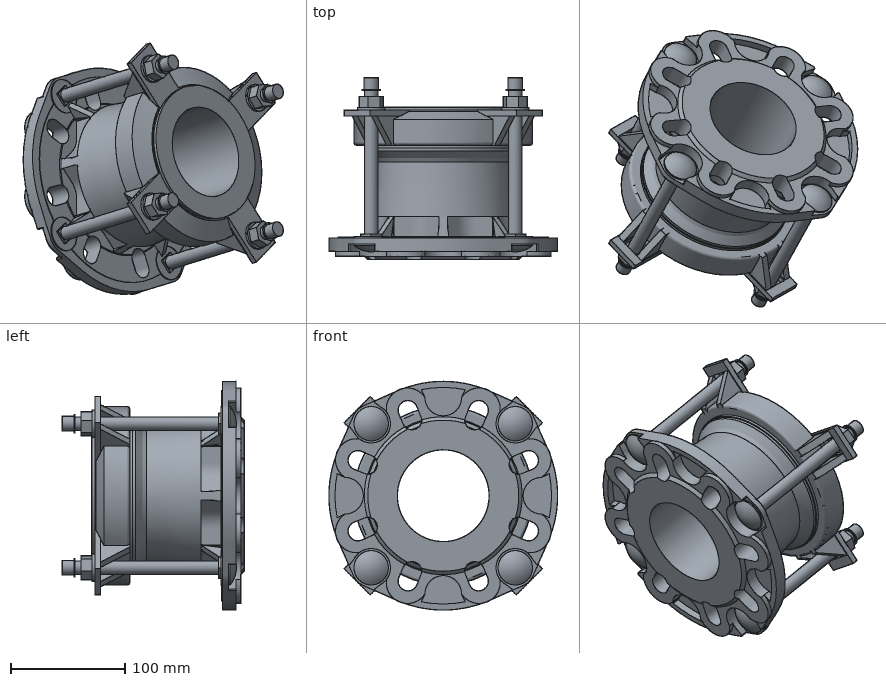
import cadquery as cq
import math


PAD_Y = 3.0
FLANGE_FRONT_Y = 7.2
RECESS_FLOOR_Y = 13.8
FLANGE_BACK_Y = 19.2
BACK_STEP_Y = 19.8
BOSS_BACK_Y = 20.5
NECK_BACK_Y = 22.5
SCALLOP_BACK_Y = 37.8
WAIST_Y = 85.5
CONE_START_Y = 88.8
CONE_END_Y = 95.2
GASKET_FRONT_Y = 97.5
RING_FRONT_Y = 100.0
RING_BEVEL_Y = 122.5
LUG_FRONT_Y = 125.5
RING_BACK_Y = 129.5
LUG_BACK_Y = 130.5
COLLAR_BACK_Y = 133.5
WASHER_BACK_Y = 133.0
NUT_BACK_Y = 142.8
COIL_Y = 148.0
BOLT_END_Y = 159.0

BORE_R = 40.0
HUB_FACE_R = 66.0
HUB_R = 69.0
BODY_FOOT_R = 67.2
BODY_R = 64.0
WAIST_R = 59.5
CONE_START_R = 61.2
LIP_R = 67.5
GASKET_R = 68.5
RING_R = 78.0
RING_EDGE = 2.5
RING_BACK_R = 60.8
COLLAR_R = 59.5

FLANGE_R = 100.0
BACK_STEP_R = 92.0
BOLT_CIRCLE_R = 89.0
LUG_BOSS_R = 17.0
BACK_BOSS_R = 15.0
PAD_WEB_R = 80.0
PAD_CENTRE_R = 82.0
PAD_R = 18.5
SLOT_OUTER_R = 80.8
SLOT_INNER_R = 71.5
SLOT_R = 8.5
RECESS_R = 16.8
THROAT_REACH = 11.0
THROAT_HALF = 15.2
MOUTH_REACH = 12.5
MOUTH_HALF = 17.5

POCKET_RIM_R = 94.5
POCKET_RIM_HALF = 19.2
POCKET_TIP_R = 69.8
POCKET_R = 16.0

SCALLOP_R = 19.5
SCALLOP_DEPTH_R = 48.0
SCALLOP_FLAT = 15.0

BOLT_R = 6.0
THREAD_R = 6.5
COIL_R = 8.0
COIL_THICK = 0.5
WASHER_R = 12.0
NUT_CORNERS = 22.0
HEAD_R = 15.0
HEAD_SKIRT = 1.5
HEAD_PEAK_Y = 6.8
NECK_SIZE = 13.2

LUG_OUTER_R = 106.5
LUG_HALF = 16.2
LUG_OPENING = 16.5
GUSSET_THICK = 6.5
GUSSET_OFFSET = 12.0
GUSSET_OUTER_R = 97.2
GUSSET_FOOT_R = 78.5
RIB_THICK = 6.2
RIB_FOOT_R = 80.0

HALF_PITCH = 22.5
BOLT_ANGLES = [45 + 90 * i for i in range(4)]
SLOT_ANGLES = [HALF_PITCH + 2 * HALF_PITCH * i for i in range(8)]
POCKET_ANGLES = [90 * i for i in range(4)]


def section(y):
    """Sketch plane across the pipe axis; extrusion runs toward +Y."""
    return cq.Workplane("ZX", origin=(0, y, 0)).transformed(rotate=(0, 0, 90))


def disc(radius, y0, y1, offset=0.0):
    return section(y0).center(offset, 0).circle(radius).extrude(y1 - y0)


def bolt_square(size, y0, y1):
    """Square block centred on the bolt axis."""
    return section(y0).center(BOLT_CIRCLE_R, 0).rect(size, size).extrude(y1 - y0)


def web(points, thick, offset=0.0):
    """Plate of the given thickness from (radius, y) points, standing on +X."""
    return cq.Workplane("XY").workplane(offset=offset - thick / 2).polyline(points).close().extrude(thick)


def around(shape, angles):
    """Copies of a shape built on +X, turned about the pipe axis."""
    copies = cq.Workplane("XY")
    for angle in angles:
        copies = copies.add(shape.rotate((0, 0, 0), (0, 1, 0), angle))
    return copies.combine()


def pipe_body():
    """Hub, pipe body and clamp ring in one revolved profile."""
    edge_centre_r = RING_R - RING_EDGE
    edge_centre_y = RING_FRONT_Y + RING_EDGE
    edge_mid = RING_EDGE * math.sqrt(0.5)
    return (
        cq.Workplane("XY")
        .moveTo(BORE_R, 0)
        .lineTo(HUB_FACE_R, 0)
        .lineTo(HUB_R, PAD_Y)
        .lineTo(HUB_R, FLANGE_BACK_Y)
        .lineTo(BODY_FOOT_R, BOSS_BACK_Y)
        .lineTo(BODY_R, SCALLOP_BACK_Y)
        .lineTo(WAIST_R, WAIST_Y)
        .lineTo(CONE_START_R, CONE_START_Y)
        .lineTo(LIP_R, CONE_END_Y)
        .lineTo(LIP_R, GASKET_FRONT_Y)
        .lineTo(GASKET_R, GASKET_FRONT_Y)
        .lineTo(GASKET_R, RING_FRONT_Y)
        .lineTo(edge_centre_r, RING_FRONT_Y)
        .threePointArc((edge_centre_r + edge_mid, edge_centre_y - edge_mid), (RING_R, edge_centre_y))
        .lineTo(RING_R, RING_BEVEL_Y)
        .lineTo(RING_BACK_R, RING_BACK_Y)
        .lineTo(RING_BACK_R, LUG_BACK_Y)
        .lineTo(COLLAR_R, LUG_BACK_Y)
        .lineTo(COLLAR_R, COLLAR_BACK_Y)
        .lineTo(BORE_R, COLLAR_BACK_Y)
        .close()
        .revolve(360, (0, 0), (0, 1))
    )


def scallop():
    """Clearance valley: two tilted flats joined by a concave arc."""
    tilt = math.radians(HALF_PITCH)
    arc_centre = (SCALLOP_DEPTH_R + SCALLOP_R) / math.cos(tilt)
    near = arc_centre - SCALLOP_R * math.cos(tilt)
    half = SCALLOP_R * math.sin(tilt)
    far = near + SCALLOP_FLAT * math.sin(tilt)
    far_half = half + SCALLOP_FLAT * math.cos(tilt)
    return (
        section(BOSS_BACK_Y)
        .moveTo(HUB_R, -far_half)
        .lineTo(far, -far_half)
        .lineTo(near, -half)
        .threePointArc((arc_centre - SCALLOP_R, 0), (near, half))
        .lineTo(far, far_half)
        .lineTo(HUB_R, far_half)
        .close()
        .extrude(SCALLOP_BACK_Y - BOSS_BACK_Y)
    )


def flange_lug():
    """Rounded corner around a bolt, with sides tangent to the flange rim."""
    tangent = math.acos((FLANGE_R - LUG_BOSS_R) / BOLT_CIRCLE_R)
    c = math.cos(tangent)
    s = math.sin(tangent)
    tip = BOLT_CIRCLE_R + LUG_BOSS_R
    return (
        section(FLANGE_FRONT_Y)
        .moveTo(FLANGE_R * c, -FLANGE_R * s)
        .lineTo(BOLT_CIRCLE_R + LUG_BOSS_R * c, -LUG_BOSS_R * s)
        .threePointArc((tip, 0), (BOLT_CIRCLE_R + LUG_BOSS_R * c, LUG_BOSS_R * s))
        .lineTo(FLANGE_R * c, FLANGE_R * s)
        .close()
        .extrude(FLANGE_BACK_Y - FLANGE_FRONT_Y)
    )


def pocket():
    waist = POCKET_TIP_R + POCKET_R
    corner = math.sqrt(POCKET_RIM_R**2 - POCKET_RIM_HALF**2)
    return (
        section(PAD_Y)
        .moveTo(corner, -POCKET_RIM_HALF)
        .threePointArc((POCKET_RIM_R, 0), (corner, POCKET_RIM_HALF))
        .lineTo(waist, POCKET_R)
        .threePointArc((POCKET_TIP_R, 0), (waist, -POCKET_R))
        .close()
        .extrude(RECESS_FLOOR_Y - PAD_Y)
    )


def slot():
    length = SLOT_OUTER_R - SLOT_INNER_R + 2 * SLOT_R
    middle = (SLOT_OUTER_R + SLOT_INNER_R) / 2
    return section(0).center(middle, 0).slot2D(length, 2 * SLOT_R).extrude(SCALLOP_BACK_Y)


def head_recess():
    """Round seat for the bolt head, open through the rim."""
    beyond_rim = 2 * RECESS_R
    outline = [
        (0, -RECESS_R),
        (THROAT_REACH, -THROAT_HALF),
        (MOUTH_REACH, -MOUTH_HALF),
        (beyond_rim, -MOUTH_HALF),
        (beyond_rim, MOUTH_HALF),
        (MOUTH_REACH, MOUTH_HALF),
        (THROAT_REACH, THROAT_HALF),
        (0, RECESS_R),
    ]
    opening = section(PAD_Y).center(BOLT_CIRCLE_R, 0).polyline(outline).close()
    opening = opening.extrude(RECESS_FLOOR_Y - PAD_Y)
    return disc(RECESS_R, PAD_Y, RECESS_FLOOR_Y, BOLT_CIRCLE_R).union(opening)


def flange():
    plate = disc(FLANGE_R, FLANGE_FRONT_Y, FLANGE_BACK_Y)
    plate = plate.union(around(flange_lug(), BOLT_ANGLES))
    plate = plate.union(disc(BACK_STEP_R, FLANGE_BACK_Y, BACK_STEP_Y))
    plate = plate.union(around(disc(BACK_BOSS_R, FLANGE_BACK_Y, BOSS_BACK_Y, BOLT_CIRCLE_R), BOLT_ANGLES))
    plate = plate.union(disc(PAD_WEB_R, PAD_Y, FLANGE_FRONT_Y))
    plate = plate.union(around(disc(PAD_R, PAD_Y, FLANGE_FRONT_Y, PAD_CENTRE_R), SLOT_ANGLES))
    return plate


def flange_rib():
    root = (BORE_R + BODY_R) / 2
    points = [
        (root, FLANGE_BACK_Y),
        (RIB_FOOT_R, FLANGE_BACK_Y),
        (RIB_FOOT_R, BOSS_BACK_Y),
        (BODY_R, SCALLOP_BACK_Y),
        (root, SCALLOP_BACK_Y),
    ]
    return web(points, RIB_THICK)


def clamp_lug():
    """Bolt plate on the clamp ring with a gusset along each side and an opening for the bolt."""
    root = (BORE_R + RING_BACK_R) / 2
    middle = (root + LUG_OUTER_R) / 2
    lug = section(LUG_FRONT_Y).center(middle, 0).rect(LUG_OUTER_R - root, 2 * LUG_HALF)
    lug = lug.extrude(LUG_BACK_Y - LUG_FRONT_Y)
    points = [
        (root, LUG_FRONT_Y),
        (root, RING_FRONT_Y + RING_EDGE),
        (GASKET_R, RING_FRONT_Y),
        (GUSSET_FOOT_R, RING_FRONT_Y),
        (GUSSET_OUTER_R, LUG_FRONT_Y),
    ]
    for side in (-1, 1):
        lug = lug.union(web(points, GUSSET_THICK, side * GUSSET_OFFSET))
    return lug.cut(bolt_square(LUG_OPENING, LUG_FRONT_Y, LUG_BACK_Y))


def bolt():
    head_outline_y = RECESS_FLOOR_Y - HEAD_SKIRT
    rise = head_outline_y - HEAD_PEAK_Y
    sphere_r = (HEAD_R**2 + rise**2) / (2 * rise)
    half_angle = math.asin(HEAD_R / sphere_r) / 2
    on_dome = (sphere_r * math.sin(half_angle), HEAD_PEAK_Y + sphere_r * (1 - math.cos(half_angle)))
    profile = (
        cq.Workplane("XY")
        .moveTo(0, HEAD_PEAK_Y)
        .threePointArc(on_dome, (HEAD_R, head_outline_y))
        .lineTo(HEAD_R, RECESS_FLOOR_Y)
        .lineTo(BOLT_R, RECESS_FLOOR_Y)
        .lineTo(BOLT_R, COIL_Y)
        .lineTo(COIL_R, COIL_Y)
        .lineTo(COIL_R, COIL_Y + COIL_THICK)
        .lineTo(THREAD_R, COIL_Y + COIL_THICK)
        .lineTo(THREAD_R, BOLT_END_Y)
        .lineTo(0, BOLT_END_Y)
        .close()
    )
    shank = profile.revolve(360, (0, 0), (0, 1)).translate((BOLT_CIRCLE_R, 0, 0))
    nut = (
        section(WASHER_BACK_Y)
        .center(BOLT_CIRCLE_R, 0)
        .transformed(rotate=(0, 0, 90))
        .polygon(6, NUT_CORNERS)
        .extrude(NUT_BACK_Y - WASHER_BACK_Y)
    )
    washer = disc(WASHER_R, LUG_BACK_Y, WASHER_BACK_Y, BOLT_CIRCLE_R)
    neck = bolt_square(NECK_SIZE, BOSS_BACK_Y, NECK_BACK_Y)
    return shank.union(nut).union(washer).union(neck)


result = pipe_body().cut(around(scallop(), SLOT_ANGLES))
result = result.union(flange().cut(disc(BORE_R, 0, SCALLOP_BACK_Y)))
result = result.cut(around(pocket(), POCKET_ANGLES))
result = result.cut(around(head_recess(), BOLT_ANGLES))
result = result.cut(around(slot(), SLOT_ANGLES))
result = result.union(around(flange_rib(), BOLT_ANGLES))
result = result.union(around(clamp_lug(), BOLT_ANGLES))
result = result.union(around(bolt(), BOLT_ANGLES))